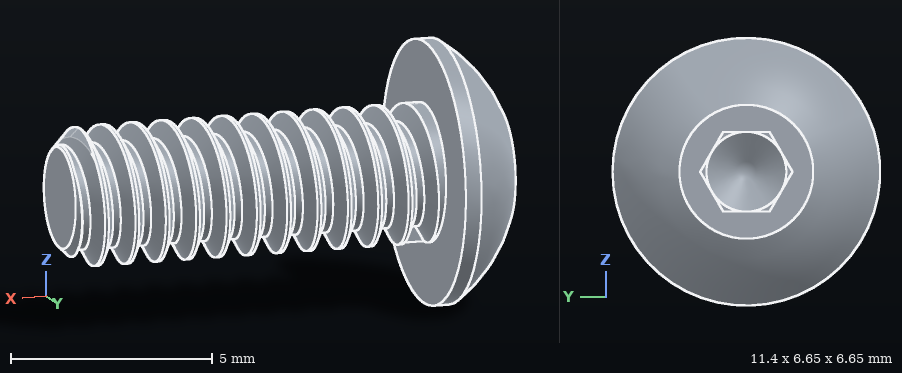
import cadquery as cq
import math

INCH = 25.4

head_diameter = 0.262 * INCH
head_height = 0.073 * INCH
rim_thickness = 0.41
crown_diameter = head_diameter / 2

socket_across_flats = 5 / 64 * INCH
socket_depth = 0.044 * INCH
socket_point_angle = 120

shank_length = 3 / 8 * INCH
major_diameter = 0.138 * INCH
minor_diameter = 2.65
pitch = INCH / 32
crest_width = pitch / 8
flank_angle = 30
tip_chamfer_length = 0.5
tip_diameter = 2.54

cutter_overshoot = 0.05


def make_head():
    """Button head: a spherical dome on a short cylindrical rim."""
    rim_radius = head_diameter / 2
    crown_radius = crown_diameter / 2
    dome_height = head_height - rim_thickness

    crown_to_centre = (rim_radius**2 - crown_radius**2 + dome_height**2) / (2 * dome_height)
    sphere_radius = math.hypot(crown_radius, crown_to_centre)
    sphere_centre = crown_to_centre - head_height
    middle_x = -head_height + dome_height / 2
    middle_radius = math.sqrt(sphere_radius**2 - (middle_x - sphere_centre) ** 2)

    return (
        cq.Workplane("XY")
        .moveTo(-head_height, 0)
        .lineTo(-head_height, crown_radius)
        .threePointArc((middle_x, middle_radius), (-rim_thickness, rim_radius))
        .lineTo(0, rim_radius)
        .lineTo(0, 0)
        .close()
        .revolve(360, (0, 0, 0), (1, 0, 0))
    )


def make_socket():
    """Hexagonal socket with two flats level and a drill-point cone in its floor."""
    corner_diameter = socket_across_flats / math.cos(math.pi / 6)
    cone_radius = socket_across_flats / 2
    cone_depth = cone_radius / math.tan(math.radians(socket_point_angle / 2))
    floor_x = socket_depth - head_height

    hexagon = (
        cq.Workplane("YZ", origin=(-head_height, 0, 0))
        .polygon(6, corner_diameter)
        .extrude(socket_depth)
    )
    cone = cq.Solid.makeCone(
        cone_radius, 0, cone_depth, cq.Vector(floor_x, 0, 0), cq.Vector(1, 0, 0)
    )
    return hexagon.union(cq.Workplane(cone))


def make_shank():
    """Plain shank at the major diameter with a conical chamfer at the tip."""
    major_radius = major_diameter / 2
    return (
        cq.Workplane("XZ")
        .lineTo(0, major_radius)
        .lineTo(shank_length - tip_chamfer_length, major_radius)
        .lineTo(shank_length, tip_diameter / 2)
        .lineTo(shank_length, 0)
        .close()
        .revolve(360, (0, 0, 0), (1, 0, 0))
    )


def make_thread_groove():
    """Right-handed helical groove that starts under the head and runs out through the tip."""
    root_radius = minor_diameter / 2
    outer_radius = major_diameter / 2 + cutter_overshoot
    flank_slope = math.tan(math.radians(flank_angle))

    half_mouth = (pitch - crest_width) / 2
    half_root = half_mouth - (major_diameter - minor_diameter) / 2 * flank_slope
    half_outer = half_mouth + cutter_overshoot * flank_slope

    turns = math.ceil(shank_length / pitch)
    helix = cq.Wire.makeHelix(pitch, turns * pitch, root_radius)
    groove = (
        cq.Workplane("XZ")
        .moveTo(root_radius, -half_root)
        .lineTo(outer_radius, -half_outer)
        .lineTo(outer_radius, half_outer)
        .lineTo(root_radius, half_root)
        .close()
        .sweep(cq.Workplane(helix), isFrenet=True)
    )
    return groove.rotate((0, 0, 0), (0, 1, 0), 90).translate((half_mouth, 0, 0))


threaded_shank = make_shank().cut(make_thread_groove())
result = make_head().cut(make_socket()).union(threaded_shank)